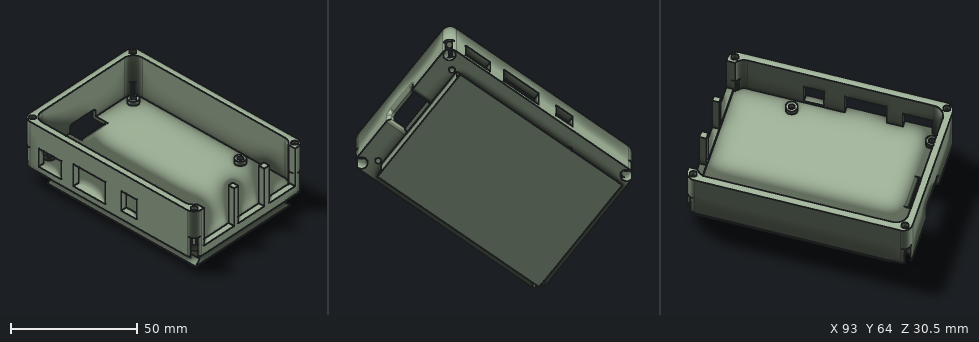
import cadquery as cq


total_height = 30.5

length = 93.0
width = 64.0
height = 23.0
wall = 3.0
floor = 3.0
outer_radius = 4.0
inner_radius = 5.0

opening_width = 53.0
sill_height = 4.3
post_ranges = [(-9.0, -6.6), (8.6, 11.5)]

screw_inset = 2.8
screw_diameter = 2.9
counterbore_diameter = 4.9
counterbore_height = 9.7

standoff_diameter = 4.8
standoff_hole = 2.4
standoff_height = 2.0
first_standoff_x = 7.5
standoff_spacing_x = 57.8
standoff_spacing_y = 48.9

connector_windows = [
    (8.7, 20.8, floor, 12.0),
    (27.5, 44.8, floor, 13.95),
    (53.4, 61.7, 4.2, 13.95),
]

slot_width = 15.1
slot_top = 6.9
slot_end = 9.5
slot_round = floor / 2

rail_start = 9.4
rail_length = 80.0
rail_height = total_height - height
rail_half_width = 25.0
rail_flare = 2.5


def block(x_range, y_range, z_range):
    """Box spanning the given coordinate ranges."""
    sizes = [high - low for low, high in (x_range, y_range, z_range)]
    corner = (x_range[0], y_range[0], z_range[0])
    return cq.Workplane("XY").box(*sizes, centered=False).translate(corner)


def discs(points, diameter, bottom, top):
    """Upright cylinders at the given points."""
    plane = cq.Workplane("XY").workplane(offset=bottom)
    return plane.pushPoints(points).circle(diameter / 2).extrude(top - bottom)


def make_shell():
    centre = (length / 2, 0)
    outside = (
        cq.Workplane("XY")
        .center(*centre)
        .rect(length, width)
        .extrude(height)
        .edges("|Z")
        .fillet(outer_radius)
    )
    cavity = (
        cq.Workplane("XY")
        .workplane(offset=floor)
        .center(*centre)
        .rect(length - 2 * wall, width - 2 * wall)
        .extrude(height - floor)
        .edges("|Z")
        .fillet(inner_radius)
    )
    return outside.cut(cavity)


def cut_card_slot(shell):
    """Arched slot, rounded where it opens at the end wall and the underside."""
    half = slot_width / 2
    cutter = (
        block((0, slot_end), (-half, half), (0, slot_top))
        .edges("|X and >Z")
        .fillet(slot_round)
    )
    shell = shell.cut(cutter)
    margin = 0.1
    reach = half + margin
    mouth = cq.selectors.BoxSelector(
        (-margin, -reach, margin), (margin, reach, slot_top + margin)
    )
    underside = cq.selectors.BoxSelector(
        (margin, -reach, -margin), (slot_end - margin, reach, margin)
    )
    shell = shell.edges(mouth + underside).fillet(slot_round)
    floor_nose = (
        cq.Workplane("XZ", origin=(slot_end, half, floor / 2))
        .circle(floor / 2)
        .extrude(slot_width)
    )
    return shell.union(floor_nose)


def open_end(shell):
    """Remove the +X wall and the corner tips beside it, then add the sill and posts."""
    wall_range = (length - wall, length)
    half = opening_width / 2
    opening_range = (length - wall - inner_radius, length)
    shell = shell.cut(block(opening_range, (-half, half), (floor, height)))
    shell = shell.union(block(wall_range, (-half, half), (0, sill_height)))
    for post_range in post_ranges:
        shell = shell.union(block(wall_range, post_range, (0, height)))
    return shell


def make_rail():
    base_half_width = rail_half_width + rail_flare
    flare_top = rail_flare - rail_height
    return (
        cq.Workplane("YZ", origin=(rail_start, 0, 0))
        .moveTo(-rail_half_width, 0)
        .lineTo(-rail_half_width, flare_top)
        .lineTo(-base_half_width, -rail_height)
        .lineTo(base_half_width, -rail_height)
        .lineTo(rail_half_width, flare_top)
        .lineTo(rail_half_width, 0)
        .close()
        .extrude(rail_length)
    )


tray = open_end(cut_card_slot(make_shell()))

front_wall = (-width / 2, -width / 2 + wall)
for x_start, x_end, z_bottom, z_top in connector_windows:
    tray = tray.cut(block((x_start, x_end), front_wall, (z_bottom, z_top)))

screw_y = width / 2 - screw_inset
screw_points = [(x, y) for x in (screw_inset, length - screw_inset) for y in (-screw_y, screw_y)]
tray = tray.cut(discs(screw_points, screw_diameter, 0, height))
tray = tray.cut(discs(screw_points, counterbore_diameter, 0, counterbore_height))

standoff_points = [
    (x, y)
    for x in (first_standoff_x, first_standoff_x + standoff_spacing_x)
    for y in (-standoff_spacing_y / 2, standoff_spacing_y / 2)
]
standoff_top = floor + standoff_height
tray = tray.union(discs(standoff_points, standoff_diameter, floor, standoff_top))
tray = tray.cut(discs(standoff_points, standoff_hole, 0, standoff_top))

result = tray.union(make_rail())